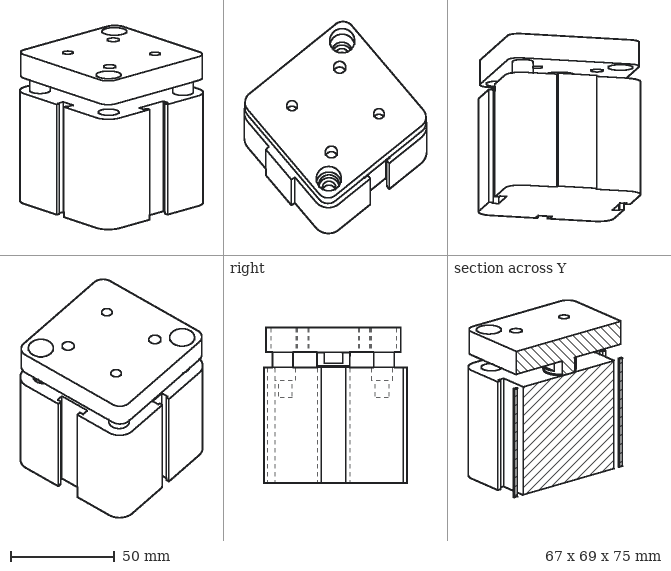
import cadquery as cq


housing_width = 67.0
overall_depth = 69.0
total_height = 75.0

plate_width = 65.0
plate_thickness = 12.0
plate_corner_radius = 5.5
stroke_gap = 7.3
housing_height = total_height - plate_thickness - stroke_gap
plate_bottom = housing_height + stroke_gap

housing_corner_radius = 7.9
pad_depth = overall_depth - housing_width
pad_root_width = 19.7
pad_tip_width = 19.2

side_slot = (11.8, 15.75, 2.0, 5.25)
front_slot = (5.0, 7.0, 1.65, 5.2)

mount_offset = 23.25
mount_diameter = 6.5
counterbore_diameter = 10.0
counterbore_depth = 6.2
mount_depth = 14.5
access_offset = 24.15
access_diameter = 12.0

tool_offset = 14.85
dowel_diameter = 5.0
bolt_diameter = 5.85

pin_diameter = 10.0
pin_offset = 24.4

rod_diameter = 16.0
neck_diameter = 15.6
rod_chamfer = (rod_diameter - neck_diameter) / 2
neck_height = 0.5
flat_distance = 13.35
flat_start = 2.1


def rising_diagonal(offset):
    return [(-offset, -offset), (offset, offset)]


def falling_diagonal(offset):
    return [(-offset, offset), (offset, -offset)]


def rounded_block(width, height, corner_radius, bottom):
    block = cq.Workplane("XY", origin=(0, 0, bottom)).rect(width, width).extrude(height)
    return block.edges("|Z").fillet(corner_radius)


def t_slot(sizes, angle):
    """Full-height T-slot cutter, drawn on the -Y side and turned about Z by angle degrees."""
    mouth_width, undercut_width, lip, depth = sizes
    face = -housing_width / 2
    half_mouth = mouth_width / 2
    half_undercut = undercut_width / 2
    outline = [
        (-half_mouth, face),
        (-half_mouth, face + lip),
        (-half_undercut, face + lip),
        (-half_undercut, face + depth),
        (half_undercut, face + depth),
        (half_undercut, face + lip),
        (half_mouth, face + lip),
        (half_mouth, face),
    ]
    slot = cq.Workplane("XY").polyline(outline).close().extrude(housing_height)
    return slot.rotate((0, 0, 0), (0, 0, 1), angle)


def side_pad():
    """Full-height pad on the +Y side, slightly narrower at its outer face."""
    root = housing_width / 2
    outline = [
        (-pad_root_width / 2, root),
        (pad_root_width / 2, root),
        (pad_tip_width / 2, root + pad_depth),
        (-pad_tip_width / 2, root + pad_depth),
    ]
    return cq.Workplane("XY").polyline(outline).close().extrude(housing_height)


def make_housing():
    housing = rounded_block(housing_width, housing_height, housing_corner_radius, 0)
    housing = housing.union(side_pad())
    housing = housing.cut(t_slot(front_slot, 0))
    for angle in (90, -90):
        housing = housing.cut(t_slot(side_slot, angle))
    return (
        housing.faces(">Z").workplane(origin=(0, 0, housing_height))
        .pushPoints(falling_diagonal(mount_offset))
        .cboreHole(mount_diameter, counterbore_diameter, counterbore_depth, mount_depth)
    )


def make_rod():
    """Centre rod: a short neck, then a chamfered length with two wrench flats."""
    neck = (
        cq.Workplane("XY", origin=(0, 0, housing_height))
        .circle(neck_diameter / 2).extrude(neck_height)
    )
    rod = (
        cq.Workplane("XY", origin=(0, 0, housing_height + neck_height))
        .circle(rod_diameter / 2).extrude(stroke_gap - neck_height)
        .faces("<Z or >Z").chamfer(rod_chamfer)
    )
    rod = rod.union(neck)
    cutter_width = rod_diameter
    cutter_offset = (flat_distance + cutter_width) / 2
    flat_cutters = (
        cq.Workplane("XY", origin=(0, 0, housing_height + flat_start))
        .pushPoints([(-cutter_offset, 0), (cutter_offset, 0)])
        .rect(cutter_width, cutter_width).extrude(stroke_gap - flat_start)
    )
    return rod.cut(flat_cutters)


def make_carriage():
    """Tool plate in one piece with its rod and guide pins."""
    plate = rounded_block(plate_width, plate_thickness, plate_corner_radius, plate_bottom)
    hole_groups = [
        (access_diameter, falling_diagonal(access_offset)),
        (bolt_diameter, falling_diagonal(tool_offset)),
        (dowel_diameter, rising_diagonal(tool_offset)),
    ]
    for diameter, places in hole_groups:
        plate = (
            plate.faces(">Z").workplane(origin=(0, 0, total_height))
            .pushPoints(places).hole(diameter)
        )
    pins = (
        cq.Workplane("XY", origin=(0, 0, housing_height))
        .pushPoints(rising_diagonal(pin_offset))
        .circle(pin_diameter / 2).extrude(stroke_gap)
    )
    return plate.union(pins).union(make_rod())


housing = make_housing()
carriage = make_carriage()
result = cq.Compound.makeCompound([housing.val(), carriage.val()])